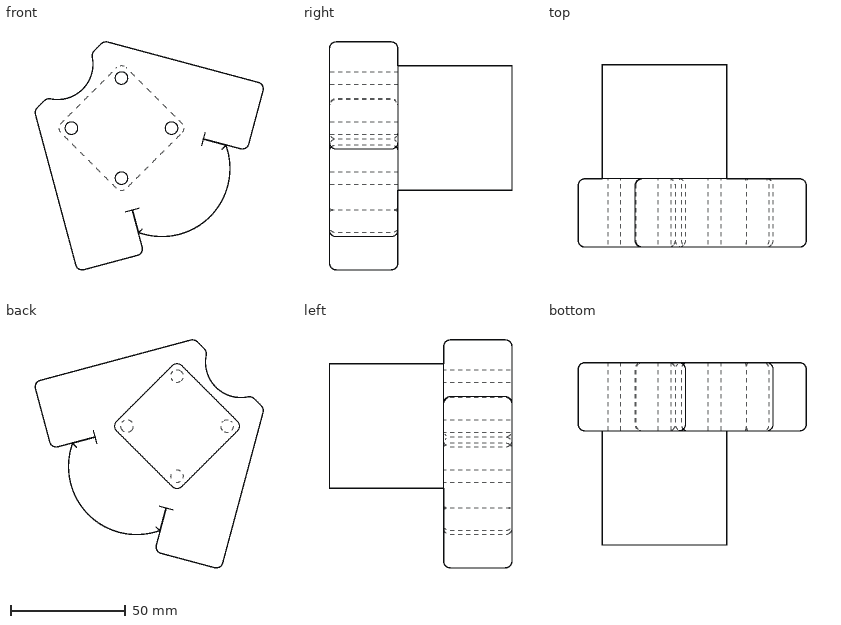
import cadquery as cq
import math

plate_thickness = 30.0
edge_round = 3.0
arm_angle = 30.0
arm_outer_offset = 34.9
arm_width = 30.2
arm_reach = 55.7
tip_offset = 32.4

notch_diameter = 30.8
notch_center = -39.5

lobe_radius = 29.9
lobe_center = 25.0
slit_width = 0.06
slit_start = 35.9

hole_diameter = 5.5
hole_spacing = 31.0

block_side = 40.4
block_length = 50.0
block_corner_round = 3.0

axis_tilt = 45.0


def arm_point(along, across):
    """Point at a distance along the upper arm and across it, outwards positive."""
    angle = math.radians(arm_angle)
    return (
        along * math.cos(angle) - across * math.sin(angle),
        along * math.sin(angle) + across * math.cos(angle),
    )


def mirrored(point):
    """Reflect a point across the symmetry axis."""
    return (point[0], -point[1])


def plate_outline():
    """Corners of the upper half outline, from the notch to the lobe."""
    angle = math.radians(arm_angle)
    notch_radius = notch_diameter / 2
    notch_edge = (-tip_offset, math.sqrt(notch_radius**2 - (tip_offset + notch_center) ** 2))
    tip_height = (arm_outer_offset - tip_offset * math.sin(angle)) / math.cos(angle)
    arm_inner_offset = arm_outer_offset - arm_width
    lobe_side_offset = arm_inner_offset - slit_width
    lobe_along = lobe_center * math.cos(angle)
    lobe_across = -lobe_center * math.sin(angle)
    lobe_corner_along = lobe_along + math.sqrt(lobe_radius**2 - (lobe_side_offset - lobe_across) ** 2)
    return [
        notch_edge,
        (-tip_offset, tip_height),
        arm_point(arm_reach, arm_outer_offset),
        arm_point(arm_reach, arm_inner_offset),
        arm_point(slit_start, arm_inner_offset),
        arm_point(slit_start, lobe_side_offset),
        arm_point(lobe_corner_along, lobe_side_offset),
    ]


def make_plate():
    """Plate with rounded edges; the closed ends and the mouths of the slits stay sharp."""
    upper = plate_outline()
    lower = [mirrored(point) for point in reversed(upper)]
    plate = (
        cq.Workplane("XZ")
        .polyline(upper)
        .threePointArc((lobe_center + lobe_radius, 0), lower[0])
        .polyline(lower[1:], includeCurrent=True)
        .threePointArc((notch_center + notch_diameter / 2, 0), upper[0])
        .close()
        .extrude(-plate_thickness)
    )
    for x, z in upper[:4] + lower[-4:]:
        plate = plate.edges(cq.NearestToPointSelector((x, plate_thickness / 2, z))).fillet(edge_round)

    face_edges = plate.faces("<Y or >Y").edges()
    long_edges = [edge for edge in face_edges.vals() if edge.Length() > 2 * slit_width]
    return plate.newObject(long_edges).fillet(edge_round)


def make_block():
    return (
        cq.Workplane("XZ", origin=(0, plate_thickness, 0))
        .rect(block_side, block_side)
        .extrude(-block_length)
        .edges("|Y")
        .fillet(block_corner_round)
    )


def make_holes():
    return (
        cq.Workplane("XZ")
        .rect(hole_spacing, hole_spacing, forConstruction=True)
        .vertices()
        .circle(hole_diameter / 2)
        .extrude(-plate_thickness)
    )


body = make_plate().cut(make_holes()).union(make_block())
result = body.rotate((0, 0, 0), (0, 1, 0), axis_tilt)